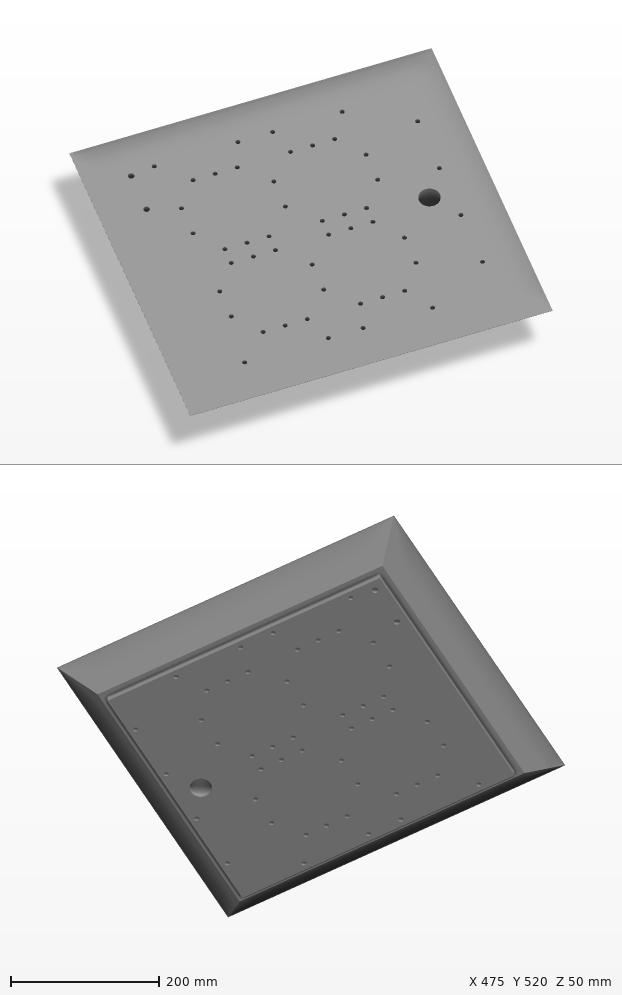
import cadquery as cq

panel_width = 475.0
panel_length = 520.0
total_height = 50.0

base_thickness = 10.0
sheet_thickness = 0.5
core_height = total_height - base_thickness - sheet_thickness
core_top = base_thickness + core_height

sheet_overhang = 0.8
core_width = panel_width - 2 * sheet_overhang
core_length = panel_length - 2 * sheet_overhang
core_taper = 45.0

base_width = 375.0
base_length = 420.0

drain_diameter = 30.0
large_diameter = 9.0
small_diameter = 7.0

drain_y = 170.0

back_row_y = 199.5
back_row_pitch = 85.0
back_row_count = 4

outer_column_x = 177.5
outer_column_ys = [109.5, 10.0, -40.0, -160.0]

inner_column_x = 12.5
cell_column_x = 137.5
cell_column_pitch = 31.5
cell_column_count = 3
cell_column_centre_ys = [52.5, -87.5]
cell_row_xs = [52.5, 98.0]
cell_row_ys = [115.0, -17.5, -150.5]

large_hole_xs = [-172.5, -112.5]
large_hole_y = -195.0


def mirrored(points):
    """Return the points together with their mirror images about x = 0."""
    return points + [(-x, y) for x, y in points]


def centred_steps(count, pitch):
    """Return evenly spaced positions that are centred on zero."""
    middle = (count - 1) / 2
    return [(i - middle) * pitch for i in range(count)]


def small_hole_points():
    """Centres of all the small through holes."""
    back_row = [(x, back_row_y) for x in centred_steps(back_row_count, back_row_pitch)]

    half = [(outer_column_x, y) for y in outer_column_ys]
    half += [(x, y) for x in cell_row_xs for y in cell_row_ys]
    column_steps = centred_steps(cell_column_count, cell_column_pitch)
    for x in (inner_column_x, cell_column_x):
        for centre_y in cell_column_centre_ys:
            half += [(x, centre_y + step) for step in column_steps]

    return back_row + mirrored(half)


def cut_holes(body):
    """Cut the whole hole pattern through a body over its full depth."""
    large_hole_points = [(x, large_hole_y) for x in large_hole_xs]
    patterns = [
        ([(0, drain_y)], drain_diameter),
        (large_hole_points, large_diameter),
        (small_hole_points(), small_diameter),
    ]
    for points, diameter in patterns:
        holes = cq.Workplane("XY").pushPoints(points).circle(diameter / 2).extrude(total_height)
        body = body.cut(holes)
    return body


def make_base():
    """Flat base plate under the core."""
    plate = cq.Workplane("XY").rect(base_width, base_length).extrude(base_thickness)
    return cut_holes(plate)


def make_core():
    """Solid core that narrows downwards from the sheet to the base plate."""
    core = (
        cq.Workplane("XY", origin=(0, 0, core_top))
        .rect(core_width, core_length)
        .extrude(-core_height, taper=core_taper)
    )
    return cut_holes(core)


def make_sheet():
    """Thin cover sheet on top of the core."""
    sheet = (
        cq.Workplane("XY", origin=(0, 0, core_top))
        .rect(panel_width, panel_length)
        .extrude(sheet_thickness)
    )
    return cut_holes(sheet)


base = make_base()
core = make_core()
sheet = make_sheet()

result = cq.Compound.makeCompound([base.val(), core.val(), sheet.val()])